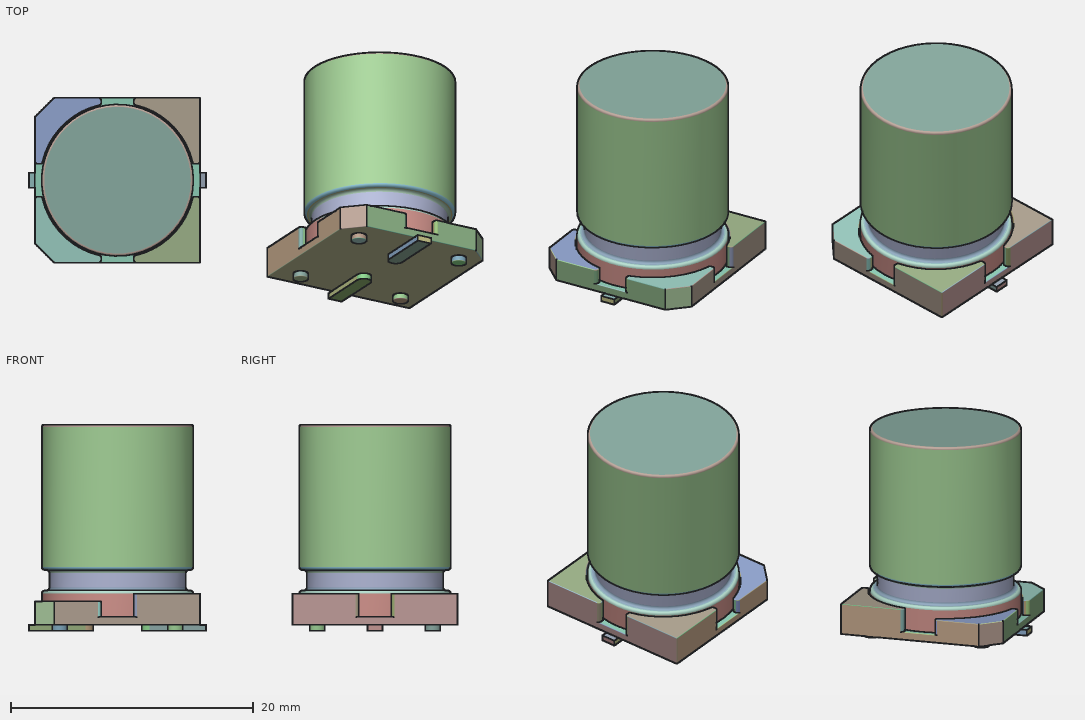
import cadquery as cq
import math


total_height = 17.0
foot_height = 0.5
floor_z = 1.17
low_block_top = 2.43
high_block_top = 3.08

base_side = 13.6
corner_chamfer = 1.58
seat_radius = 6.38
notch_width = 2.69
notch_rounding = 0.25
base_rounding = 0.05
seat_corner_rounding = 0.15

can_diameter = 12.5
neck_diameter = 11.25
top_rounding = 0.2
flange_shoulder_z = 3.33
body_shoulder_z = 5.02
crimp_rounding = 0.25

lead_span = 14.6
lead_inner_reach = 1.99
foot_width = 1.25
peg_rounding = 0.05
peg_offset = 4.76

half_side = base_side / 2
tolerance = 0.002


def round_edges(body, wanted, radius):
    """Fillet every edge of the body that the test accepts."""
    return body.newObject([edge for edge in body.edges().vals() if wanted(edge)]).fillet(radius)


def is_upright(edge):
    """Straight vertical edge."""
    box = edge.BoundingBox()
    return box.zlen > tolerance and math.hypot(box.xlen, box.ylen) < tolerance


def is_notch_mouth(edge):
    """Upright edge where a notch wall meets an outer face."""
    near, far = sorted((abs(edge.Center().x), abs(edge.Center().y)))
    return is_upright(edge) and abs(near - notch_width / 2) < tolerance and abs(far - half_side) < tolerance


def is_seat_corner(edge):
    """Upright edge where a notch wall meets the can seat."""
    return is_upright(edge) and abs(math.hypot(edge.Center().x, edge.Center().y) - seat_radius) < tolerance


def lies_at(z):
    """Test for level edges at height z."""
    def is_level_edge(edge):
        box = edge.BoundingBox()
        return abs(box.zmin - z) < tolerance and abs(box.zmax - z) < tolerance
    return is_level_edge


def is_notch_sill(edge):
    """Outer straight edge of a notch floor."""
    far = max(abs(edge.Center().x), abs(edge.Center().y))
    return lies_at(floor_z)(edge) and abs(far - half_side) < tolerance and edge.geomType() == "LINE"


def make_base():
    """Square base with four corner blocks around the can seat."""
    high_block = cq.Workplane("XY").box(
        half_side, base_side, high_block_top - foot_height, centered=(False, True, False)
    ).edges("|Z and >X").fillet(base_rounding)
    low_block = cq.Workplane("XY").box(
        half_side, base_side, low_block_top - foot_height, centered=(False, True, False)
    ).edges("|Z and >X").chamfer(corner_chamfer).rotate((0, 0, 0), (0, 0, 1), 180)
    base = high_block.union(low_block).translate((0, 0, foot_height))

    cutter_height = high_block_top - floor_z
    seat_plane = cq.Workplane("XY").workplane(offset=floor_z)
    base = base.cut(seat_plane.circle(seat_radius).extrude(cutter_height))
    base = base.cut(seat_plane.rect(base_side, notch_width).extrude(cutter_height))
    base = base.cut(seat_plane.rect(notch_width, base_side).extrude(cutter_height))

    base = round_edges(base, is_notch_mouth, notch_rounding)
    base = round_edges(base, is_seat_corner, seat_corner_rounding)
    for z in (high_block_top, low_block_top, foot_height):
        base = round_edges(base, lies_at(z), base_rounding)
    return round_edges(base, is_notch_sill, base_rounding)


def make_can():
    """Revolved can with a crimped neck above its bottom flange."""
    can_radius = can_diameter / 2
    neck_radius = neck_diameter / 2
    return (
        cq.Workplane("XZ")
        .moveTo(0, floor_z)
        .lineTo(can_radius, floor_z)
        .lineTo(can_radius, flange_shoulder_z - crimp_rounding)
        .radiusArc((can_radius - crimp_rounding, flange_shoulder_z), -crimp_rounding)
        .lineTo(neck_radius + crimp_rounding, flange_shoulder_z)
        .radiusArc((neck_radius, flange_shoulder_z + crimp_rounding), crimp_rounding)
        .lineTo(neck_radius, body_shoulder_z - crimp_rounding)
        .radiusArc((neck_radius + crimp_rounding, body_shoulder_z), crimp_rounding)
        .lineTo(can_radius - crimp_rounding, body_shoulder_z)
        .radiusArc((can_radius, body_shoulder_z + crimp_rounding), -crimp_rounding)
        .lineTo(can_radius, total_height - top_rounding)
        .radiusArc((can_radius - top_rounding, total_height), -top_rounding)
        .lineTo(0, total_height)
        .close()
        .revolve(360, (0, 0, 0), (0, 1, 0))
    )


def make_lead():
    """Flat lead on the +X side with a full-round inner end."""
    round_centre = lead_inner_reach + foot_width / 2
    straight = cq.Workplane("XY").box(
        lead_span / 2 - round_centre, foot_width, foot_height, centered=(False, True, False)
    ).translate((round_centre, 0, 0))
    round_end = cq.Workplane("XY").center(round_centre, 0).circle(foot_width / 2).extrude(foot_height)
    return straight.union(round_end)


def make_pegs():
    """Four round standoffs under the corner blocks, rounded at both ends."""
    return (
        cq.Workplane("XY")
        .rect(2 * peg_offset, 2 * peg_offset, forConstruction=True)
        .vertices()
        .circle(foot_width / 2)
        .extrude(foot_height)
        .edges("%CIRCLE")
        .fillet(peg_rounding)
    )


lead = make_lead()
result = make_base().union(make_can()).union(lead).union(lead.mirror("YZ")).union(make_pegs())